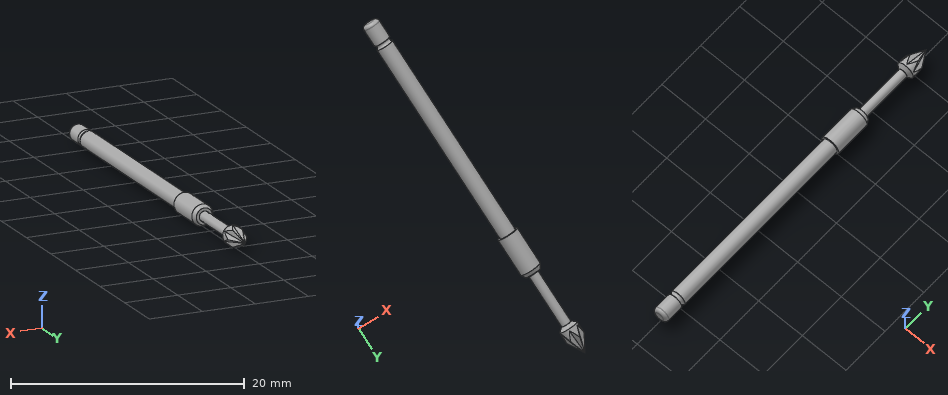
import cadquery as cq
import math

length = 34.3

body_radius = 0.8
end_round = 0.35
groove_rear = 2.0
groove_width = 0.4
groove_depth = 0.15

collar_radius = 1.0
collar_rear = 21.95
collar_front = 26.0
collar_chamfer_length = 0.4
collar_chamfer_depth = 0.25

plunger_radius = 0.48
head_radius = 0.9
head_taper_length = 0.35
head_length = 2.68
cone_half_angle = math.radians(30.0)
cone_length = head_radius / math.tan(cone_half_angle)

flute_count = 6
flute_length = 2.5


def turned_pin():
    """Revolve the half outline about the pin axis (sketch X = radius, sketch Y = along the pin)."""
    round_mid = end_round * math.sqrt(0.5)
    groove_front = groove_rear + groove_width
    head_rear = length - head_length
    return (
        cq.Workplane("XY")
        .moveTo(0, 0)
        .lineTo(body_radius - end_round, 0)
        .threePointArc(
            (body_radius - end_round + round_mid, end_round - round_mid),
            (body_radius, end_round),
        )
        .lineTo(body_radius, groove_rear)
        .threePointArc(
            (body_radius - groove_depth, groove_rear + groove_width / 2),
            (body_radius, groove_front),
        )
        .lineTo(body_radius, collar_rear)
        .lineTo(collar_radius, collar_rear)
        .lineTo(collar_radius, collar_front - collar_chamfer_length)
        .lineTo(collar_radius - collar_chamfer_depth, collar_front)
        .lineTo(plunger_radius, collar_front)
        .lineTo(plunger_radius, head_rear - head_taper_length)
        .lineTo(head_radius, head_rear)
        .lineTo(head_radius, length - cone_length)
        .lineTo(0, length)
        .close()
        .revolve(360, (0, 0, 0), (0, 1, 0))
    )


def flute_cutter():
    """V prism above +Z: its floor line passes through the tip and its walls hold two ridges of the cone."""
    floor_slope = math.atan(head_radius / flute_length)
    half_pitch = math.pi / flute_count

    ridge_radius = math.tan(cone_half_angle)
    ridge_offset = ridge_radius * math.sin(half_pitch)
    ridge_level = ridge_radius * math.cos(half_pitch)
    ridge_height = ridge_level * math.cos(floor_slope) - math.sin(floor_slope)

    wedge_height = head_radius
    wedge_half_width = wedge_height * ridge_offset / ridge_height
    wedge = (
        cq.Workplane("XZ")
        .polyline([(0, 0), (wedge_half_width, wedge_height), (-wedge_half_width, wedge_height)])
        .close()
        .extrude(2 * flute_length, both=True)
    )
    return wedge.rotate((0, 0, 0), (1, 0, 0), -math.degrees(floor_slope)).translate((0, length, 0))


def cut_flutes(pin):
    cutter = flute_cutter()
    for index in range(flute_count):
        pin = pin.cut(cutter.rotate((0, 0, 0), (0, 1, 0), index * 360 / flute_count))
    return pin


result = cut_flutes(turned_pin())